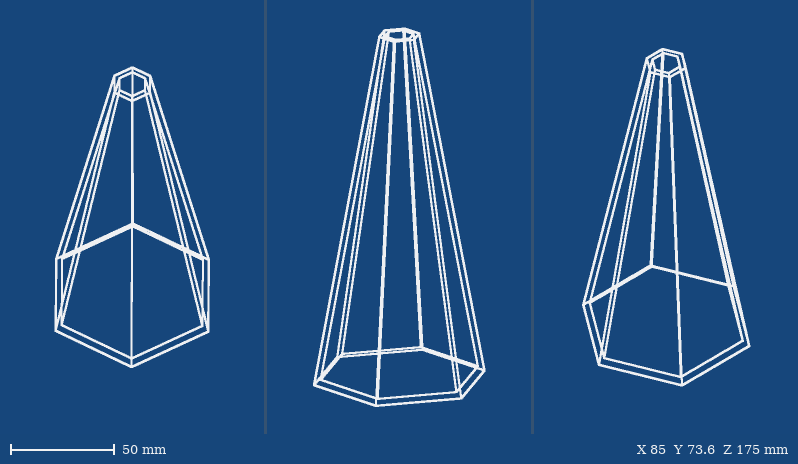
import cadquery as cq
import math

height = 175.0
base_width = 85.0
top_width = 20.0
opening_width = 14.2

width_reduction = top_width - opening_width

flat_ratio = math.cos(math.pi / 6)
side_slope = (base_width - top_width) / 2 * flat_ratio / height
horizontal_wall = width_reduction / 2 * flat_ratio
floor_thickness = horizontal_wall / math.hypot(1, side_slope)


def outer_width(z):
    """Width across corners of the outside at height z."""
    return base_width + (top_width - base_width) * z / height


def hexagonal_frustum(bottom_z, bottom_width, upper_width):
    """Tapered hexagonal solid from bottom_z up to the top of the part."""
    return (
        cq.Workplane("XY", origin=(0, 0, bottom_z))
        .polygon(6, bottom_width)
        .workplane(offset=height - bottom_z)
        .polygon(6, upper_width)
        .loft(ruled=True)
    )


body = hexagonal_frustum(0, base_width, top_width)

cavity_base_width = outer_width(floor_thickness) - width_reduction
cavity = hexagonal_frustum(floor_thickness, cavity_base_width, opening_width)

result = body.cut(cavity)